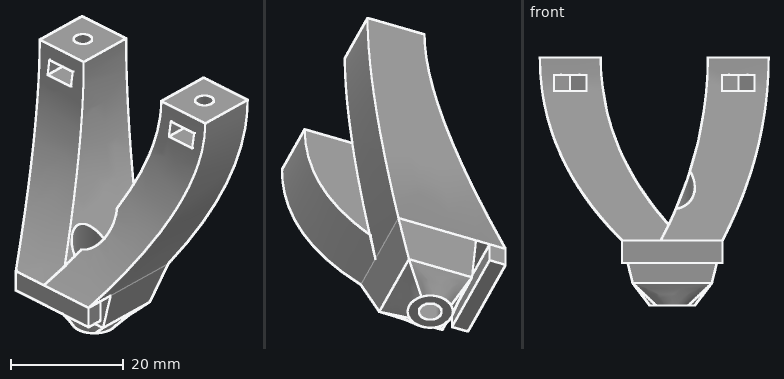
import cadquery as cq
import math

arm_height = 32.45
total_height = 44
cone_height = 4.0
block_height = total_height - arm_height - cone_height

base_half_width = 8.95
base_front = -10.82
base_back = 9.7
foot_width = 10.95
lip_thickness = 3.1
lip_height = 4.05

tip_width = 10.82
tip_front = 10.55
tip_back = 21.45
left_tip_outer = -23.5
right_tip_outer = 17.1

left_bend_height = 14.45
right_bend_height = 15.7

screw_diameter = 3.3
nut_across_flats = 5.7
nut_height = 2.9
nut_top_depth = 3.1

block_front = -5.15
block_bottom_back = 6.9
block_bottom_half_width = 7.05
nozzle_diameter = 8.0
bore_diameter = 4.0
counterbore_diameter = 8.0


def arm_profile(plane, tip_low, tip_high, foot_low, foot_high, bend_height):
    """Outline bounded by two parabolas that leave the tip vertically."""
    return (
        cq.Workplane(plane)
        .moveTo(foot_low, 0)
        .bezier([(foot_low, 0), (tip_low, bend_height), (tip_low, arm_height)])
        .lineTo(tip_high, arm_height)
        .bezier([(tip_high, arm_height), (tip_high, bend_height), (foot_high, 0)])
        .close()
    )


def arm(tip_left, foot_left, bend_height):
    """Curved arm: its side outline crossed with its front outline."""
    tip_right = tip_left + tip_width
    foot_right = foot_left + foot_width
    front_outline = arm_profile("XZ", tip_left, tip_right, foot_left, foot_right, bend_height)
    side_outline = arm_profile("YZ", tip_front, tip_back, base_front, base_back, bend_height)
    front_sweep = front_outline.extrude(base_front - tip_back).translate((0, base_front, 0))
    side_sweep = side_outline.extrude(right_tip_outer - left_tip_outer).translate((left_tip_outer, 0, 0))
    return front_sweep.intersect(side_sweep)


def tip_cutout(tip_left):
    """Vertical screw hole ending in a hexagonal nut trap open to the front."""
    center_x = tip_left + tip_width / 2
    center_y = (tip_front + tip_back) / 2
    trap_floor = arm_height - nut_top_depth - nut_height
    half_flats = nut_across_flats / 2
    half_side = half_flats * math.tan(math.radians(30))
    point_reach = half_flats / math.cos(math.radians(30))
    trap = (
        cq.Workplane("XY", origin=(center_x, center_y, trap_floor))
        .moveTo(-half_flats, base_front - center_y)
        .lineTo(-half_flats, half_side)
        .lineTo(0, point_reach)
        .lineTo(half_flats, half_side)
        .lineTo(half_flats, base_front - center_y)
        .close()
        .extrude(nut_height)
    )
    screw_hole = (
        cq.Workplane("XY", origin=(center_x, center_y, trap_floor))
        .circle(screw_diameter / 2)
        .extrude(nut_top_depth + nut_height)
    )
    return trap.union(screw_hole)


def rectangle_wire(half_width, front, back, z):
    """Horizontal rectangle, symmetric about the nozzle axis in X."""
    corners = [(-half_width, front, z), (half_width, front, z), (half_width, back, z), (-half_width, back, z)]
    return cq.Wire.makePolygon([cq.Vector(*corner) for corner in corners], close=True)


def ring_wire(radius, z):
    """Circle made of four arcs, one for each side of the block above it."""
    def point(degrees):
        angle = math.radians(degrees)
        return cq.Vector(radius * math.cos(angle), radius * math.sin(angle), z)

    starts = (225, 315, 405, 495)
    arcs = [cq.Edge.makeThreePointArc(point(a), point(a + 45), point(a + 90)) for a in starts]
    return cq.Wire.assembleEdges(arcs)


left_tip = left_tip_outer
right_tip = right_tip_outer - tip_width
left_arm = arm(left_tip, -base_half_width, left_bend_height)
right_arm = arm(right_tip, base_half_width - foot_width, right_bend_height)
arms = left_arm.union(right_arm)

lip = cq.Workplane("XY").box(2 * base_half_width, lip_thickness, lip_height, centered=(True, False, False))
lip = lip.translate((0, base_front, -lip_height))

block_top = rectangle_wire(base_half_width, block_front, base_back, 0)
block_bottom = rectangle_wire(block_bottom_half_width, block_front, block_bottom_back, -block_height)
nozzle_tip = ring_wire(nozzle_diameter / 2, -block_height - cone_height)
block = cq.Workplane(cq.Solid.makeLoft([block_top, block_bottom], True))
nozzle = cq.Workplane(cq.Solid.makeLoft([block_bottom, nozzle_tip], True))

bore = cq.Workplane("XY").circle(bore_diameter / 2).extrude(-(block_height + cone_height))
counterbore = cq.Workplane("XY", origin=(0, 0, -block_height))
counterbore = counterbore.circle(counterbore_diameter / 2).extrude(block_height + arm_height)

result = arms.union(lip).union(block).union(nozzle).cut(bore).cut(counterbore)
for tip in (left_tip, right_tip):
    result = result.cut(tip_cutout(tip))